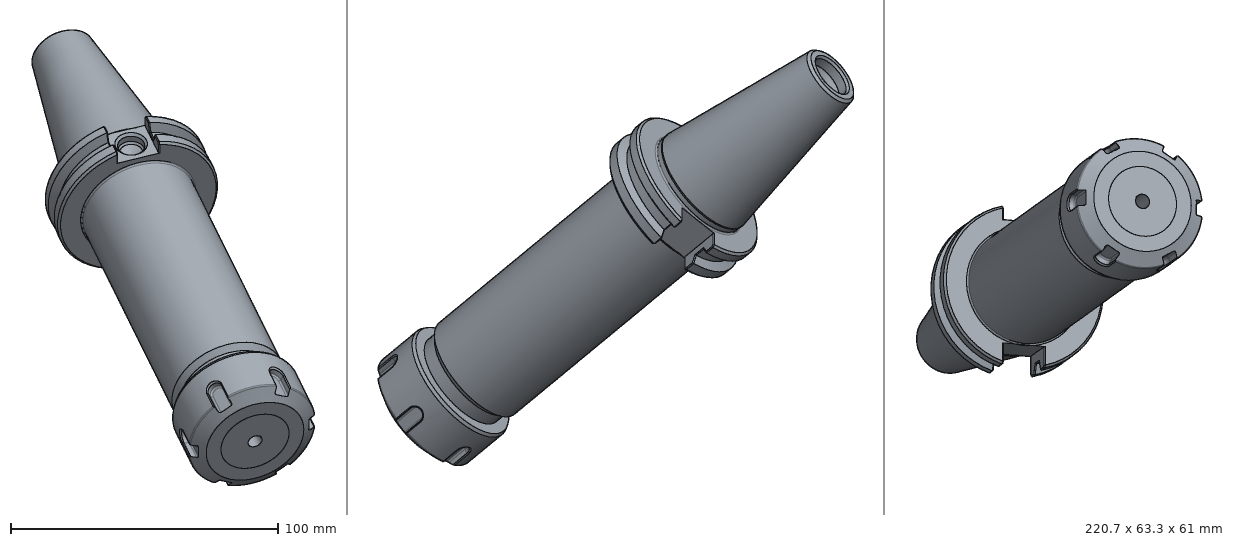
import cadquery as cq
import math

total_length = 220.7

taper_length = 68.2
taper_small_radius = 24.5 / 2
taper_large_radius = 44.4 / 2
tail_chamfer = 1.0
neck_radius = 44.0 / 2
neck_step = 0.7
corner_fillet = 0.7

mouth_radius = 17.9 / 2
counterbore_radius = 16.5 / 2
mouth_cone_length = 1.0
counterbore_depth = 4.9
bore_radius = 13.5 / 2
bore_cone_length = 2.6

flange_start = 71.5
flange_width = 15.9
flange_end = flange_start + flange_width
flange_radius = 63.3 / 2
flange_chamfer = 0.9
groove_center = 79.2
groove_mouth_width = 6.8
groove_floor_width = 4.0
groove_floor_radius = 28.0

slot_width = 16.0
upper_slot_floor = 25.2
lower_slot_floor = 22.5
slot_edge_chamfer = 0.5
wall_tolerance = 0.02

dimple_radius = 10.2 / 2
dimple_mouth_radius = 12.1 / 2
dimple_point_radius = 8.5 / 2
dimple_depth = 4.5
dimple_point_angle = 130.0

body_radius = taper_large_radius
body_end = 192.0
nose_radius = 40.0 / 2
nose_end = 214.0

nut_start = 197.5
nut_radius = 50.0 / 2
nut_face_radius = 38.6 / 2
nut_face_angle = 60.0
nut_rim_fillet = 0.7
rim_search_margin = 0.2
nut_back_chamfer_length = 1.3
nut_back_chamfer_height = 0.7
spanner_slot_count = 6
first_spanner_slot_angle = 90
spanner_slot_width = 6.0
spanner_slot_start = 207.2
spanner_slot_floor = 21.8
spanner_slot_floor_fillet = 0.7
spanner_slot_flare_depth = 0.7
spanner_slot_flare_angle = 45

collet_length = 39.7
collet_back_radius = 23.5 / 2
collet_half_angle = 8.0
collet_head_radius = 27.0 / 2
collet_bore_radius = 5.5 / 2

collet_start = total_length - collet_length
seat_length = nose_end - collet_start
collet_front_radius = collet_back_radius + seat_length * math.tan(math.radians(collet_half_angle))


def turn(profile):
    """Revolve a closed (x, radius) profile about the X axis."""
    return profile.close().revolve(360, (0, 0, 0), (1, 0, 0))


def cylinder(start, end, radius):
    """Cylinder along X between two positions."""
    return cq.Workplane("YZ").workplane(offset=start).circle(radius).extrude(end - start)


def make_holder_blank():
    """Outer shape of the taper, flange, body and nose."""
    groove_mouth_left = groove_center - groove_mouth_width / 2
    groove_mouth_right = groove_center + groove_mouth_width / 2
    groove_floor_left = groove_center - groove_floor_width / 2
    groove_floor_right = groove_center + groove_floor_width / 2
    body_chamfer = body_radius - nose_radius
    return turn(
        cq.Workplane("XY")
        .moveTo(0, 0)
        .lineTo(0, taper_small_radius - tail_chamfer)
        .lineTo(tail_chamfer, taper_small_radius)
        .lineTo(taper_length, taper_large_radius)
        .lineTo(taper_length + neck_step, neck_radius)
        .lineTo(flange_start - corner_fillet, neck_radius)
        .radiusArc((flange_start, neck_radius + corner_fillet), -corner_fillet)
        .lineTo(flange_start, flange_radius - flange_chamfer)
        .lineTo(flange_start + flange_chamfer, flange_radius)
        .lineTo(groove_mouth_left, flange_radius)
        .lineTo(groove_floor_left, groove_floor_radius)
        .lineTo(groove_floor_right, groove_floor_radius)
        .lineTo(groove_mouth_right, flange_radius)
        .lineTo(flange_end - flange_chamfer, flange_radius)
        .lineTo(flange_end, flange_radius - flange_chamfer)
        .lineTo(flange_end, body_radius + corner_fillet)
        .radiusArc((flange_end + corner_fillet, body_radius), -corner_fillet)
        .lineTo(body_end - body_chamfer, body_radius)
        .lineTo(body_end, nose_radius)
        .lineTo(nose_end, nose_radius)
        .lineTo(nose_end, 0)
    )


def make_holder_bore():
    """Counterbored bore from the tail, opening into the conical collet seat."""
    return turn(
        cq.Workplane("XY")
        .moveTo(0, 0)
        .lineTo(0, mouth_radius)
        .lineTo(mouth_cone_length, counterbore_radius)
        .lineTo(counterbore_depth, counterbore_radius)
        .lineTo(counterbore_depth + bore_cone_length, bore_radius)
        .lineTo(collet_start, bore_radius)
        .lineTo(collet_start, collet_back_radius)
        .lineTo(nose_end, collet_front_radius)
        .lineTo(nose_end, 0)
    )


def make_drive_slot(floor, side):
    """Block that clears one drive slot, above (side 1) or below (side -1) the axis."""
    depth = flange_radius - floor
    center = (flange_start + flange_width / 2, 0, side * (floor + depth / 2))
    return cq.Workplane("XY").box(flange_width, slot_width, depth).translate(center)


def make_dimple():
    """Countersunk blind hole with a narrower drill point, going down from the upper slot floor."""
    countersink = dimple_mouth_radius - dimple_radius
    shoulder = dimple_radius - dimple_point_radius
    point_depth = dimple_point_radius / math.tan(math.radians(dimple_point_angle / 2))
    return (
        cq.Workplane("XZ")
        .moveTo(0, 0)
        .lineTo(dimple_mouth_radius, 0)
        .lineTo(dimple_radius, -countersink)
        .lineTo(dimple_radius, shoulder - dimple_depth)
        .lineTo(dimple_point_radius, -dimple_depth)
        .lineTo(0, -dimple_depth - point_depth)
        .close()
        .revolve(360, (0, 0, 0), (0, 1, 0))
        .translate((groove_center, 0, upper_slot_floor))
    )


def is_drive_slot_wall_edge(edge):
    """True for the edges around a drive slot wall, apart from its floor corner."""
    box = edge.BoundingBox()
    on_wall = all(abs(abs(y) - slot_width / 2) < wall_tolerance for y in (box.ymin, box.ymax))
    floor_corner = upper_slot_floor if box.center.z > 0 else lower_slot_floor
    return on_wall and abs(edge.Center().z) > floor_corner + wall_tolerance


def make_holder():
    """Tool holder: taper, slotted drive flange, body and nose in one piece."""
    holder = make_holder_blank().cut(make_holder_bore())
    holder = holder.cut(make_drive_slot(upper_slot_floor, 1))
    holder = holder.cut(make_drive_slot(lower_slot_floor, -1))
    wall_edges = [edge for edge in holder.edges().vals() if is_drive_slot_wall_edge(edge)]
    holder = holder.newObject(wall_edges).chamfer(slot_edge_chamfer)
    return holder.cut(make_dimple())


def spanner_slot_outline(height):
    """Round-ended slot outline at a height above the axis, reaching the nut face."""
    half_width = spanner_slot_width / 2
    arc_center = spanner_slot_start + half_width
    return (
        cq.Workplane("XY")
        .workplane(offset=height)
        .moveTo(total_length, -half_width)
        .lineTo(arc_center, -half_width)
        .threePointArc((spanner_slot_start, 0), (arc_center, half_width))
        .lineTo(total_length, half_width)
        .close()
    )


def make_spanner_slot():
    """Cutter for the spanner slot on the +Z side, flared along its mouth."""
    flare_depth = spanner_slot_flare_depth
    slot = spanner_slot_outline(spanner_slot_floor).extrude(nut_radius - spanner_slot_floor)
    slot = slot.faces("<Z").edges("not >X").fillet(spanner_slot_floor_fillet)
    flare_outline = spanner_slot_outline(nut_radius - flare_depth)
    flare = flare_outline.extrude(flare_depth, taper=-spanner_slot_flare_angle)
    return slot.union(flare)


def make_nut():
    """Clamping nut on the nose, with evenly spaced spanner slots."""
    face_length = (nut_radius - nut_face_radius) / math.tan(math.radians(nut_face_angle))
    face_start = total_length - face_length
    nut = turn(
        cq.Workplane("XY")
        .moveTo(nut_start, 0)
        .lineTo(nut_start, nut_radius - nut_back_chamfer_height)
        .lineTo(nut_start + nut_back_chamfer_length, nut_radius)
        .lineTo(face_start, nut_radius)
        .lineTo(total_length, nut_face_radius)
        .lineTo(total_length, 0)
    )
    rim_reach = nut_radius + 2.2
    rim = cq.selectors.BoxSelector(
        (face_start - rim_search_margin, -rim_reach, -rim_reach),
        (face_start + rim_search_margin, rim_reach, rim_reach),
        boundingbox=True,
    )
    nut = nut.edges(rim).fillet(nut_rim_fillet)
    nut = nut.cut(cylinder(nut_start, nose_end, nose_radius))
    nut = nut.cut(cylinder(nose_end, total_length, collet_head_radius))
    spanner_slot = make_spanner_slot()
    for index in range(spanner_slot_count):
        angle = first_spanner_slot_angle + index * 360 / spanner_slot_count
        nut = nut.cut(spanner_slot.rotate((0, 0, 0), (1, 0, 0), angle))
    return nut


def make_collet():
    """Bored collet: a cone in the nose seat and a plain head in the nut."""
    return turn(
        cq.Workplane("XY")
        .moveTo(collet_start, collet_bore_radius)
        .lineTo(collet_start, collet_back_radius)
        .lineTo(nose_end, collet_front_radius)
        .lineTo(nose_end, collet_head_radius)
        .lineTo(total_length, collet_head_radius)
        .lineTo(total_length, collet_bore_radius)
    )


holder = make_holder()
nut = make_nut()
collet = make_collet()
result = cq.Compound.makeCompound([holder.val(), nut.val(), collet.val()])